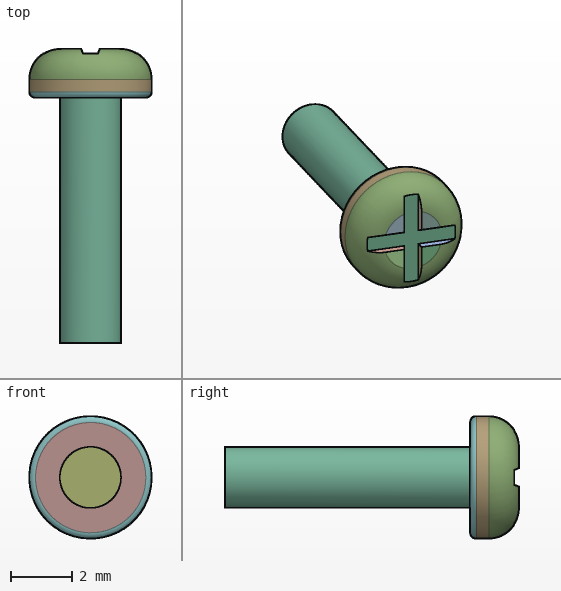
import cadquery as cq

total_length = 9.6
head_diameter = 4.0
shank_diameter = 2.0
head_height = 1.6
dome_radius = 1.0
under_head_fillet = 0.2

slot_top_width = 0.6
slot_floor_width = 0.48
slot_depth = 0.15

head_bottom = total_length / 2 - head_height


def make_shank():
    return (
        cq.Workplane("XZ", origin=(0, -total_length / 2, 0))
        .circle(shank_diameter / 2)
        .extrude(-(total_length - head_height))
    )


def make_head():
    head = (
        cq.Workplane("XZ", origin=(0, head_bottom, 0))
        .circle(head_diameter / 2)
        .extrude(-head_height)
    )
    return head.faces(">Y").edges().fillet(dome_radius).faces("<Y").edges().fillet(under_head_fillet)


def make_slot():
    """Trapezoidal cutter that runs along Z across the whole head top."""
    top = total_length / 2
    floor = top - slot_depth
    return (
        cq.Workplane("XY")
        .polyline([
            (-slot_top_width / 2, top),
            (-slot_floor_width / 2, floor),
            (slot_floor_width / 2, floor),
            (slot_top_width / 2, top),
        ])
        .close()
        .extrude(head_diameter / 2, both=True)
    )


result = make_head().union(make_shank())
for angle in (0, 90):
    result = result.cut(make_slot().rotate((0, 0, 0), (0, 1, 0), angle))